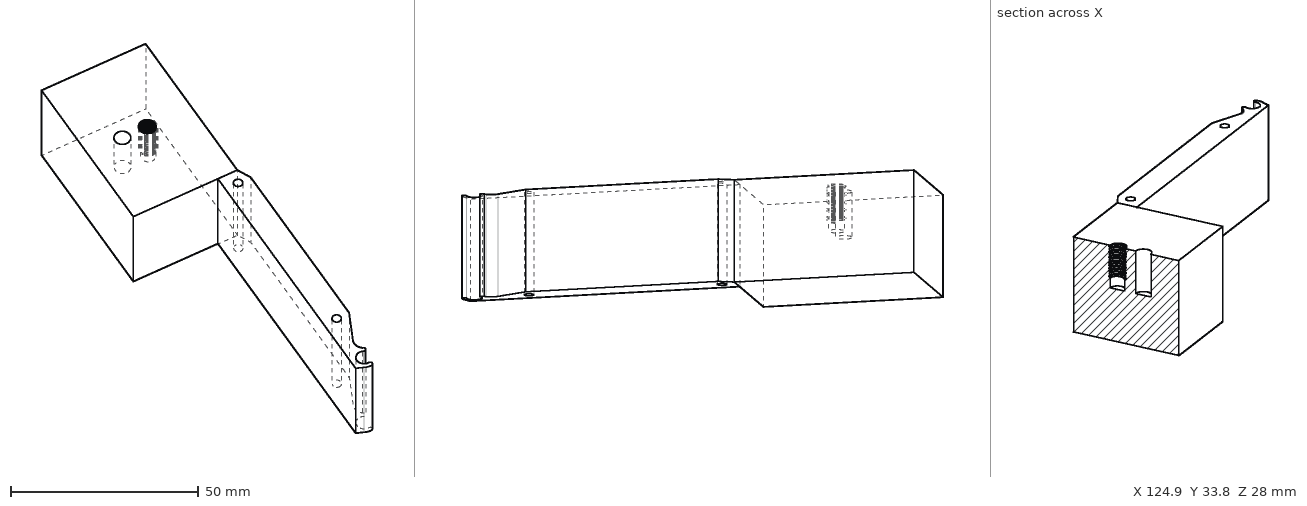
import cadquery as cq
import math

length = 124.9
width = 33.8
height = 28.0

block_length = 49.5
block_width = 32.0
block_hole_x = block_length / 2
plain_hole_y = 10.7
plain_hole_diameter = 4.5
threaded_hole_y = 18.6
thread_minor_diameter = 4.2
thread_major_diameter = 5.1
thread_pitch = 0.8
thread_root_fraction = 0.8
thread_turns = 12
thread_exit_angle = 290.0
block_hole_depth = 12.5

arm_bottom_y = 26.0
shoulder_x = 53.3
slope_x = 106.4
arm_hole_diameter = 2.5
arm_hole_y = 30.0

hook_radius = 2.1
hook_wall = 1.2
tip_radius = hook_wall / 2
hook_outer_radius = hook_radius + hook_wall
hook_x = length - hook_outer_radius
hook_y = 29.7
outer_tip_angle = 8.0
inner_tip_angle = 154.0
outer_arc_start_angle = -30.0
heel_x = 123.7

hollow_radius = 2.7
hollow_x = 116.2
hollow_bottom_y = 29.9
hollow_start_angle = 246.0
hollow_end_angle = 318.0


def polar(center, radius, angle):
    """Point on a circle, with the angle in degrees from +X."""
    turn = math.radians(angle)
    return (center[0] + radius * math.cos(turn), center[1] + radius * math.sin(turn))


def make_thread_cutter():
    """Helical V-shaped ridge whose last turns run out above the block."""
    minor_radius = thread_minor_diameter / 2
    groove_depth = thread_major_diameter / 2 - minor_radius
    inner_radius = minor_radius - groove_depth / 4
    slope = thread_root_fraction * thread_pitch / 2 / groove_depth
    half_width = slope * (thread_major_diameter / 2 - inner_radius)
    path = cq.Wire.makeHelix(thread_pitch, (thread_turns + 1) * thread_pitch, minor_radius)
    cutter = (
        cq.Workplane("XZ")
        .moveTo(inner_radius, -half_width)
        .lineTo(thread_major_diameter / 2, 0)
        .lineTo(inner_radius, half_width)
        .close()
        .sweep(cq.Workplane(obj=path), isFrenet=True)
    )
    bottom_z = height - thread_turns * thread_pitch
    return cutter.rotate((0, 0, 0), (0, 0, 1), thread_exit_angle).translate(
        (block_hole_x, threaded_hole_y, bottom_z)
    )


def make_block():
    """Rectangular block with a plain and a threaded blind hole in its top."""
    block = cq.Workplane("XY").box(block_length, block_width, height, centered=False)
    for hole_y, diameter in (
        (plain_hole_y, plain_hole_diameter),
        (threaded_hole_y, thread_minor_diameter),
    ):
        top = block.faces(">Z").workplane(origin=(0, 0, height))
        block = top.center(block_hole_x, hole_y).hole(diameter, block_hole_depth)
    return block.cut(make_thread_cutter())


def make_arm():
    """Flat-sided arm with two through holes and an open hook at its end."""
    hook = (hook_x, hook_y)
    hollow = (hollow_x, hollow_bottom_y + hollow_radius)
    outer_tip = polar(hook, hook_radius + tip_radius, outer_tip_angle)
    inner_tip = polar(hook, hook_radius + tip_radius, inner_tip_angle)
    arm = (
        cq.Workplane("XY")
        .moveTo(block_length, arm_bottom_y)
        .lineTo(heel_x, arm_bottom_y)
        .lineTo(*polar(hook, hook_outer_radius, outer_arc_start_angle))
        .threePointArc((length, hook_y), polar(hook, hook_outer_radius, outer_tip_angle))
        .threePointArc(
            polar(outer_tip, tip_radius, outer_tip_angle + 90),
            polar(hook, hook_radius, outer_tip_angle),
        )
        .threePointArc(polar(hook, hook_radius, 270), polar(hook, hook_radius, inner_tip_angle))
        .threePointArc(polar(inner_tip, tip_radius, 90), polar(inner_tip, tip_radius, 180))
        .lineTo(*polar(hollow, hollow_radius, hollow_end_angle))
        .threePointArc(
            polar(hollow, hollow_radius, 270),
            polar(hollow, hollow_radius, hollow_start_angle),
        )
        .lineTo(slope_x, width)
        .lineTo(shoulder_x, width)
        .lineTo(block_length, block_width)
        .close()
        .extrude(height)
    )
    holes = (
        cq.Workplane("XY")
        .pushPoints([(shoulder_x, arm_hole_y), (slope_x, arm_hole_y)])
        .circle(arm_hole_diameter / 2)
        .extrude(height)
    )
    return arm.cut(holes)


block = make_block()
arm = make_arm()
result = cq.Compound.makeCompound([block.solids().val(), arm.solids().val()])